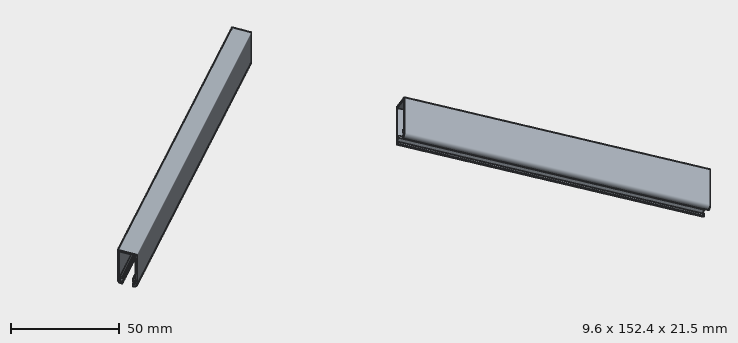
import cadquery as cq
import math

width = 9.6
length = 152.4
height = 21.5
wall = 0.9
corner_radius = 0.5

lip_reach = 2.3
notch_depth = 0.8
notch_height = 2.3
foot_radius = 2.0
foot_tip_height = 1.0
barb_bottom = 3.4
barb_top = 4.5
barb_root = 3.5
barb_bulge = 0.2

half_width = width / 2
inner_face = half_width - wall
tip = half_width - lip_reach

bend_offset = foot_radius * (1 - math.sqrt(0.5))

half_channel = (
    cq.Workplane("XZ")
    .moveTo(0, height)
    .lineTo(half_width, height)
    .lineTo(half_width, foot_radius)
    .threePointArc((half_width - bend_offset, bend_offset), (half_width - foot_radius, 0))
    .lineTo(tip, 0)
    .lineTo(tip, foot_tip_height)
    .lineTo(half_width - notch_depth, notch_height)
    .lineTo(tip, barb_bottom)
    .lineTo(tip, barb_top)
    .sagittaArc((inner_face, barb_root), barb_bulge)
    .lineTo(inner_face, height - wall)
    .lineTo(0, height - wall)
    .close()
    .extrude(length / 2, both=True)
)
channel = half_channel.union(half_channel.mirror("YZ")).clean()

result = channel.faces(">Z").edges("|Y").fillet(corner_radius)